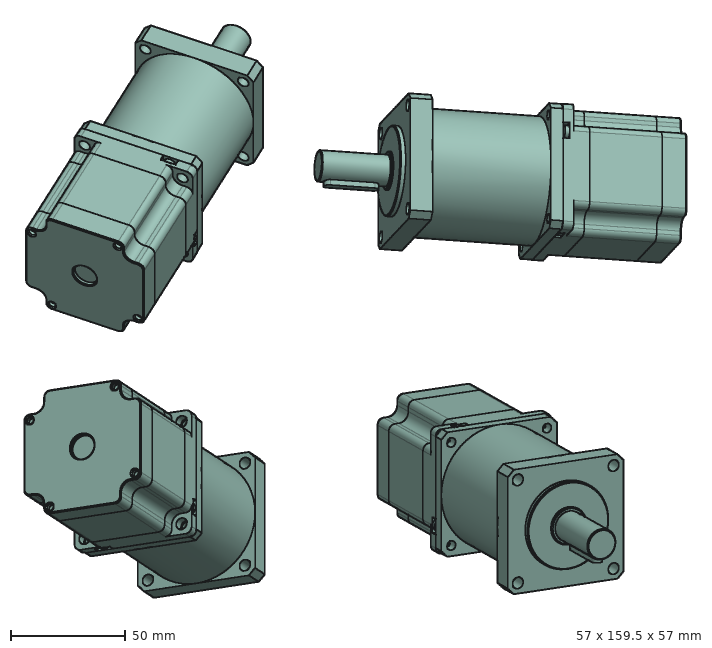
import cadquery as cq
import math


frame = 57.0
half = frame / 2
mount_pitch = 47.14
mount_offset = mount_pitch / 2
mount_hole_dia = 5.2
corner = 3.0

input_flange_thick = 5.5
tube_length = 53.5
output_flange_thick = 10.0
tapped_hole_dia = 4.2
boss_dia = 40.0
boss_height = 2.5
boss_chamfer = 0.5

tube_start = input_flange_thick
flange_back = tube_start + tube_length
flange_face = flange_back + output_flange_thick
boss_face = flange_face + boss_height

shaft_dia = 14.0
shaft_chamfer = 0.5
shaft_reach = 34.5
journal_dia = 17.2
journal_height = 1.0
journal_chamfer = 0.5
shaft_end = flange_face + shaft_reach
key_width = 5.0
key_height = 5.0
key_length = 25.0
key_end_gap = 2.5
key_bottom = -9.0

motor_flange_thick = 4.8
front_cover_length = 12.0
stator_length = 32.7
rear_cover_length = 11.3
rear_chamfer = 0.5
stator_front = -front_cover_length
stator_rear = stator_front - stator_length
motor_rear = stator_rear - rear_cover_length

scallop_radius = 4.75
edge_radius = corner

recess_dia = 11.2
recess_depth = 2.0
recess_chamfer = 0.5

screw_dia = 3.0
screw_inset = edge_radius
screw_near = mount_offset - scallop_radius - edge_radius
screw_far = half - screw_inset
screw_positions = [
    (screw_near, screw_far),
    (-screw_far, screw_near),
    (-screw_near, -screw_far),
    (screw_far, -screw_near),
]
head_dia = 5.8
head_height = 2.0
pocket_width = 7.2
pocket_depth = 3.0
screw_mouth_chamfer = 0.6
screw_end_recess = 2.5


def section(y):
    """Sketch plane facing +Y at height y; its local axes are (Z, X)."""
    return cq.Workplane(cq.Plane(origin=(0, y, 0), xDir=(0, 0, 1), normal=(0, 1, 0)))


def at(points):
    """Turn (x, z) places into the local places of a section plane."""
    return [(z, x) for x, z in points]


def cylinder(dia, y_start, y_end, points=((0, 0),)):
    """Cylinders along Y, one at each (x, z) point."""
    return section(y_start).pushPoints(at(points)).circle(dia / 2).extrude(y_end - y_start)


def flared_mouth(dia, flare, y_start, points=((0, 0),)):
    """Cones that chamfer the mouths of holes of the given diameter, narrowing toward +Y."""
    mouths = section(y_start).pushPoints(at(points)).circle(dia / 2 + flare)
    return mouths.extrude(flare, taper=45)


def square_block(y_start, y_end):
    return section(y_start).rect(frame, frame).extrude(y_end - y_start)


mount_points = [(sx * mount_offset, sz * mount_offset) for sx in (-1, 1) for sz in (-1, 1)]


def make_housing():
    input_flange = square_block(0, tube_start).edges("|Y").chamfer(corner)
    input_flange = input_flange.cut(cylinder(tapped_hole_dia, 0, tube_start, mount_points))
    output_flange = square_block(flange_back, flange_face).edges("|Y").chamfer(corner)
    output_flange = output_flange.cut(cylinder(mount_hole_dia, flange_back, flange_face, mount_points))
    tube = cylinder(frame, tube_start, flange_back)
    boss = cylinder(boss_dia, flange_face, boss_face).faces(">Y").chamfer(boss_chamfer)
    body = input_flange.union(tube).union(output_flange).union(boss)
    return body.cut(cylinder(journal_dia, flange_back, boss_face))


def make_key():
    middle = shaft_end - key_end_gap - key_length / 2
    return (
        cq.Workplane("XY", origin=(0, middle, key_bottom))
        .slot2D(key_length, key_width, 90)
        .extrude(key_height)
    )


def make_shaft(key):
    journal = cylinder(journal_dia, flange_back, boss_face + journal_height)
    journal = journal.faces(">Y").chamfer(journal_chamfer)
    shaft = cylinder(shaft_dia, flange_back, shaft_end).faces(">Y").chamfer(shaft_chamfer)
    return journal.union(shaft).cut(key)


def motor_block(y_start, y_end):
    """Square block whose corners are scooped out around the mounting holes."""
    wall = mount_offset - scallop_radius
    near = wall - edge_radius
    far = half - edge_radius
    mid = mount_offset - scallop_radius * math.sqrt(0.5)
    bulge = edge_radius * math.sqrt(0.5)
    quarter = [
        ("line", (near, half)),
        ("arc", (near + bulge, far + bulge), (wall, far)),
        ("line", (wall, mount_offset)),
        ("arc", (mid, mid), (mount_offset, wall)),
        ("line", (far, wall)),
        ("arc", (far + bulge, near + bulge), (half, near)),
    ]
    outline = section(y_start).moveTo(-near, half)
    for turn in range(4):
        angle = -turn * math.pi / 2
        cos, sin = round(math.cos(angle)), round(math.sin(angle))
        for kind, *points in quarter:
            turned = [(u * cos - v * sin, u * sin + v * cos) for u, v in points]
            outline = outline.lineTo(*turned[0]) if kind == "line" else outline.threePointArc(*turned)
    return outline.close().extrude(y_end - y_start)


def head_pockets():
    """Round-bottomed pockets that open to the nearest side face."""
    pockets = cylinder(pocket_width, -pocket_depth, 0, screw_positions)
    for x, z in screw_positions:
        vertical = abs(z) > abs(x)
        size = (screw_inset, pocket_width) if vertical else (pocket_width, screw_inset)
        shift = math.copysign(screw_inset / 2, z if vertical else x)
        place = (x, z + shift) if vertical else (x + shift, z)
        opening = section(-pocket_depth).pushPoints(at([place])).rect(*size).extrude(pocket_depth)
        pockets = pockets.union(opening)
    return pockets


def make_front_cover():
    flange = square_block(-motor_flange_thick, 0).edges("|Y").fillet(corner)
    flange = flange.cut(cylinder(mount_hole_dia, -motor_flange_thick, 0, mount_points))
    cover = flange.union(motor_block(stator_front, -motor_flange_thick))
    cover = cover.cut(cylinder(screw_dia, stator_front, 0, screw_positions))
    return cover.cut(head_pockets())


def make_stator():
    stator = motor_block(stator_rear, stator_front)
    return stator.cut(cylinder(screw_dia, stator_rear, stator_front, screw_positions))


def make_rear_cover():
    cover = motor_block(motor_rear, stator_rear).faces("<Y").chamfer(rear_chamfer)
    recess = cylinder(recess_dia, motor_rear, motor_rear + recess_depth)
    recess = recess.union(flared_mouth(recess_dia, recess_chamfer, motor_rear))
    cover = cover.cut(recess)
    cover = cover.cut(cylinder(screw_dia, motor_rear, stator_rear, screw_positions))
    return cover.cut(flared_mouth(screw_dia, screw_mouth_chamfer, motor_rear, screw_positions))


def make_screw(position):
    """Screw with a cylindrical head seated on the floor of its pocket."""
    head_base = -pocket_depth
    shank = cylinder(screw_dia, motor_rear + screw_end_recess, head_base, [position])
    head = cylinder(head_dia, head_base, head_base + head_height, [position])
    return shank.union(head)


key = make_key()
shaft = make_shaft(key)
housing = make_housing()
front_cover = make_front_cover()
stator = make_stator()
rear_cover = make_rear_cover()
screws = [make_screw(position) for position in screw_positions]

result = cq.Compound.makeCompound(
    [
        housing.val(),
        shaft.val(),
        key.val(),
        front_cover.val(),
        stator.val(),
        rear_cover.val(),
        *[screw.val() for screw in screws],
    ]
)